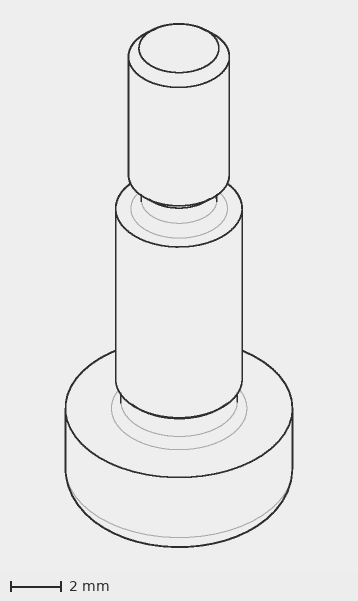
import cadquery as cq

total_length = 22.0

head_diameter = 9.0
head_radius = head_diameter / 2
head_height = 4.0
head_edge_radius = 1.01

shoulder_radius = 2.5
shoulder_top = 14.0
shoulder_neck_radius = 2.3
shoulder_chamfer_height = 0.2
shoulder_chamfer_top = 5.45
head_fillet_radius = 0.37

thread_radius = 2.0
thread_neck_radius = 1.5
thread_chamfer = thread_radius - thread_neck_radius
thread_bottom = 15.66
thread_fillet_radius = 0.42
tip_chamfer = 0.42


def add_relief(profile, base_z, neck_radius, fillet_radius, cone_bottom, outer_radius, cone_top):
    """Go inward along a flat, up a filleted neck, then out along a cone."""
    return (
        profile.lineTo(neck_radius + fillet_radius, base_z)
        .radiusArc((neck_radius, base_z + fillet_radius), fillet_radius)
        .lineTo(neck_radius, cone_bottom)
        .lineTo(outer_radius, cone_top)
    )


profile = cq.Workplane("XZ").lineTo(head_radius, 0).lineTo(head_radius, head_height)
profile = add_relief(
    profile, head_height, shoulder_neck_radius, head_fillet_radius,
    shoulder_chamfer_top - shoulder_chamfer_height, shoulder_radius, shoulder_chamfer_top,
)
profile = profile.lineTo(shoulder_radius, shoulder_top)
profile = add_relief(
    profile, shoulder_top, thread_neck_radius, thread_fillet_radius,
    thread_bottom - thread_chamfer, thread_radius, thread_bottom,
)
profile = (
    profile.lineTo(thread_radius, total_length - tip_chamfer)
    .lineTo(thread_radius - tip_chamfer, total_length)
    .lineTo(0, total_length)
    .close()
)
screw = profile.revolve(360, (0, 0, 0), (0, 1, 0))

result = screw.faces("<Z").edges().fillet(head_edge_radius)